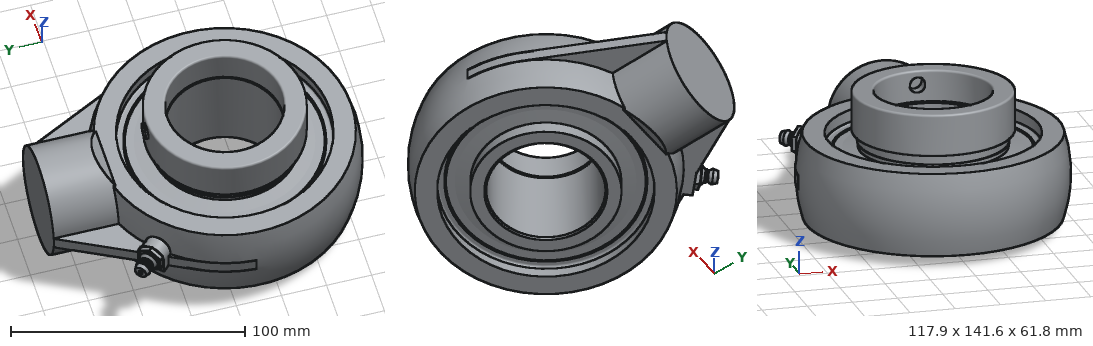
import cadquery as cq
import math


HOUSING_RADIUS = 58.9
HOUSING_HALF_WIDTH = 18.5
HOUSING_BORE_RADIUS = 92.7 / 2
SHANK_RADIUS = 48.0 / 2
SHANK_END = 82.7
SHANK_START = 49.5
SHANK_BEVEL_START = 52.8
WEB_THICKNESS = 6.0
WEB_RADIUS = HOUSING_RADIUS + 0.1
WEB_LAND_END = 2.7

BOSS_RADIUS = 6.0
BOSS_AXIS_HEIGHT = 4.0
BOSS_START = 51.0
BOSS_END = 64.0

RACE_RADIUS = 94.7 / 2
RACE_FACE_HEIGHT = 12.0
RACE_CORNER_RADIUS = 1.06
RACE_HALF_WIDTH = RACE_FACE_HEIGHT + RACE_CORNER_RADIUS
SEAL_SEAT_RADIUS = 86.6 / 2

SEAL_DEPTH = 2.8
SEAL_EDGE_CHAMFER = 0.7
SEAL_FLAT_RADIUS = 77.5 / 2
SEAL_CONE_RISE = 0.5

BORE_RADIUS = 50.8 / 2
INNER_RING_RADIUS = 64.5 / 2
INNER_RING_BOTTOM = -19.0
INNER_RING_CHAMFER = 0.8
SPIGOT_RADIUS = 59.3 / 2
SPIGOT_TOP = 23.9

COLLAR_RADIUS = 70.0 / 2
COLLAR_SKIRT_RADIUS = 65.3 / 2
COLLAR_SKIRT_BOTTOM = 14.9
COLLAR_BOTTOM = 19.3
COLLAR_TOP = 37.8
COLLAR_ROUNDING = 1.0

SCREW_RADIUS = 6.8 / 2
SCREW_HEIGHT = 31.5
SCREW_INNER_END = 31.1
SCREW_OUTER_END = 36.0

NIPPLE_HEX_CORNERS = 12.7
NIPPLE_HEX_LENGTH = 2.3
NIPPLE_SHOULDER_RADIUS = 5.4
NIPPLE_CONE_RADIUS = 4.4
NIPPLE_CONE_START = 2.7
NIPPLE_CONE_END = 4.2
NIPPLE_STEM_RADIUS = 6.0 / 2
NIPPLE_STEM_END = 5.0
NIPPLE_NECK_RADIUS = 2.4
NIPPLE_NECK_START = 5.4
NIPPLE_NECK_END = 5.8
NIPPLE_HEAD_RADIUS = 6.8 / 2
NIPPLE_HEAD_WIDEST = 7.6
NIPPLE_TIP_RADIUS = 2.7
NIPPLE_LENGTH = 9.9
NIPPLE_BALL_RADIUS = 2.3 / 2
NIPPLE_BALL_RISE = 0.4


def revolve_about_z(points):
    """Turn a closed (radius, z) outline about the bearing axis."""
    return cq.Workplane("XZ").polyline(points).close().revolve(360, (0, 0, 0), (0, 1, 0))


def nipple_plane(distance):
    """Plane across the nipple axis, its x direction along +Z and its normal pointing outward."""
    offset = distance / math.sqrt(2)
    return cq.Plane(origin=(-offset, offset, BOSS_AXIS_HEIGHT), xDir=(0, 0, 1), normal=(-1, 1, 0))


def make_ring():
    """Solid disc with a spherical rim."""
    face_radius = math.sqrt(HOUSING_RADIUS**2 - HOUSING_HALF_WIDTH**2)
    return (
        cq.Workplane("XZ")
        .moveTo(0, -HOUSING_HALF_WIDTH)
        .lineTo(face_radius, -HOUSING_HALF_WIDTH)
        .threePointArc((HOUSING_RADIUS, 0), (face_radius, HOUSING_HALF_WIDTH))
        .lineTo(0, HOUSING_HALF_WIDTH)
        .close()
        .revolve(360, (0, 0, 0), (0, 1, 0))
    )


def make_shank():
    """Cylinder along +Y with a 45 degree bevel down to each ring face."""
    bevel = SHANK_RADIUS - HOUSING_HALF_WIDTH
    side_outline = [
        (SHANK_START, -HOUSING_HALF_WIDTH),
        (SHANK_BEVEL_START, -HOUSING_HALF_WIDTH),
        (SHANK_BEVEL_START + bevel, -SHANK_RADIUS),
        (SHANK_END, -SHANK_RADIUS),
        (SHANK_END, SHANK_RADIUS),
        (SHANK_BEVEL_START + bevel, SHANK_RADIUS),
        (SHANK_BEVEL_START, HOUSING_HALF_WIDTH),
        (SHANK_START, HOUSING_HALF_WIDTH),
    ]
    beveled_block = cq.Workplane("YZ").polyline(side_outline).close().extrude(SHANK_RADIUS, both=True)
    cylinder = (
        cq.Workplane("XZ", origin=(0, SHANK_START, 0))
        .circle(SHANK_RADIUS)
        .extrude(SHANK_START - SHANK_END)
    )
    return cylinder.intersect(beveled_block)


def web_point(angle):
    """Point on the web's land circle."""
    return WEB_RADIUS * math.cos(angle), WEB_RADIUS * math.sin(angle)


def mirror_x(point):
    return -point[0], point[1]


def make_web():
    """Plate from the corners of the shank end, running out along the ring's equator."""
    corner_angle = math.atan2(SHANK_END, SHANK_RADIUS)
    tangent_angle = corner_angle - math.acos(WEB_RADIUS / math.hypot(SHANK_RADIUS, SHANK_END))
    end_angle = math.asin(WEB_LAND_END / WEB_RADIUS)
    tangent = web_point(tangent_angle)
    middle = web_point((tangent_angle + end_angle) / 2)
    end = web_point(end_angle)
    return (
        cq.Workplane("XY")
        .moveTo(-SHANK_RADIUS, SHANK_END)
        .lineTo(SHANK_RADIUS, SHANK_END)
        .lineTo(*tangent)
        .threePointArc(middle, end)
        .lineTo(*mirror_x(end))
        .threePointArc(mirror_x(middle), mirror_x(tangent))
        .close()
        .extrude(WEB_THICKNESS / 2, both=True)
    )


def make_boss():
    """Round-topped boss that stands on the lower face of the web."""
    drop = BOSS_AXIS_HEIGHT + WEB_THICKNESS / 2
    return (
        cq.Workplane(nipple_plane(BOSS_START))
        .moveTo(0, BOSS_RADIUS)
        .threePointArc((BOSS_RADIUS, 0), (0, -BOSS_RADIUS))
        .lineTo(-drop, -BOSS_RADIUS)
        .lineTo(-drop, BOSS_RADIUS)
        .close()
        .extrude(BOSS_END - BOSS_START)
    )


def make_housing():
    """Housing bored through, with a wider groove that holds the outer race."""
    bore = cq.Workplane("XY").circle(HOUSING_BORE_RADIUS).extrude(HOUSING_HALF_WIDTH, both=True)
    groove = cq.Workplane("XY").circle(RACE_RADIUS).extrude(RACE_HALF_WIDTH, both=True)
    body = make_ring().union(make_shank()).union(make_web()).union(make_boss())
    return body.cut(bore).cut(groove)


def make_outer_race():
    """Race with a concave corner at both faces; the seals sit in its bore."""
    corner_start = HOUSING_BORE_RADIUS - RACE_CORNER_RADIUS
    sag = RACE_CORNER_RADIUS * math.sqrt(0.5)
    arc_radius = corner_start + sag
    arc_height = RACE_HALF_WIDTH - sag
    return (
        cq.Workplane("XZ")
        .moveTo(SEAL_SEAT_RADIUS, -RACE_FACE_HEIGHT)
        .lineTo(corner_start, -RACE_FACE_HEIGHT)
        .threePointArc((arc_radius, -arc_height), (HOUSING_BORE_RADIUS, -RACE_HALF_WIDTH))
        .lineTo(RACE_RADIUS, -RACE_HALF_WIDTH)
        .lineTo(RACE_RADIUS, RACE_HALF_WIDTH)
        .lineTo(HOUSING_BORE_RADIUS, RACE_HALF_WIDTH)
        .threePointArc((arc_radius, arc_height), (corner_start, RACE_FACE_HEIGHT))
        .lineTo(SEAL_SEAT_RADIUS, RACE_FACE_HEIGHT)
        .close()
        .revolve(360, (0, 0, 0), (0, 1, 0))
    )


def make_seal(side):
    """Seal between the race and the inner ring; side is 1 at the top and -1 at the bottom."""
    outline = [
        (INNER_RING_RADIUS, RACE_FACE_HEIGHT - SEAL_DEPTH),
        (SEAL_SEAT_RADIUS, RACE_FACE_HEIGHT - SEAL_DEPTH),
        (SEAL_SEAT_RADIUS, RACE_FACE_HEIGHT - SEAL_EDGE_CHAMFER),
        (SEAL_SEAT_RADIUS - SEAL_EDGE_CHAMFER, RACE_FACE_HEIGHT),
        (SEAL_FLAT_RADIUS, RACE_FACE_HEIGHT),
        (INNER_RING_RADIUS, RACE_FACE_HEIGHT + SEAL_CONE_RISE),
    ]
    return revolve_about_z([(radius, side * z) for radius, z in outline])


def make_inner_ring():
    edge = INNER_RING_CHAMFER
    return revolve_about_z([
        (BORE_RADIUS + edge, INNER_RING_BOTTOM),
        (INNER_RING_RADIUS, INNER_RING_BOTTOM),
        (INNER_RING_RADIUS, COLLAR_SKIRT_BOTTOM),
        (SPIGOT_RADIUS, COLLAR_SKIRT_BOTTOM),
        (SPIGOT_RADIUS, SPIGOT_TOP),
        (BORE_RADIUS + edge, SPIGOT_TOP),
        (BORE_RADIUS, SPIGOT_TOP - edge),
        (BORE_RADIUS, INNER_RING_BOTTOM + edge),
    ])


def make_screw_cylinder(start, end):
    """Cylinder along +Y on the set screw axis."""
    return cq.Workplane("XZ", origin=(0, start, SCREW_HEIGHT)).circle(SCREW_RADIUS).extrude(start - end)


def make_collar():
    """Collar with rounded rims, a seat for the inner ring's spigot and a skirt around that seat."""
    rim = (
        cq.Workplane("XY", origin=(0, 0, COLLAR_BOTTOM))
        .circle(COLLAR_RADIUS)
        .circle(BORE_RADIUS)
        .extrude(COLLAR_TOP - COLLAR_BOTTOM)
        .edges("%CIRCLE")
        .fillet(COLLAR_ROUNDING)
    )
    spigot_seat = cq.Workplane("XY").circle(SPIGOT_RADIUS).extrude(SPIGOT_TOP)
    skirt = (
        cq.Workplane("XY", origin=(0, 0, COLLAR_SKIRT_BOTTOM))
        .circle(COLLAR_SKIRT_RADIUS)
        .circle(SPIGOT_RADIUS)
        .extrude(COLLAR_BOTTOM - COLLAR_SKIRT_BOTTOM)
    )
    return rim.cut(spigot_seat).union(skirt).cut(make_screw_cylinder(0, COLLAR_RADIUS))


def make_set_screw():
    return make_screw_cylinder(SCREW_INNER_END, SCREW_OUTER_END)


def make_grease_nipple():
    """Hexagon on the boss face, then a turned stem, neck and head with a ball in its tip."""
    plane = nipple_plane(BOSS_END)
    hexagon = cq.Workplane(plane).polygon(6, NIPPLE_HEX_CORNERS).extrude(NIPPLE_HEX_LENGTH)
    turned_outline = [
        (0, 0),
        (NIPPLE_SHOULDER_RADIUS, 0),
        (NIPPLE_SHOULDER_RADIUS, NIPPLE_HEX_LENGTH),
        (NIPPLE_CONE_RADIUS, NIPPLE_CONE_START),
        (NIPPLE_STEM_RADIUS, NIPPLE_CONE_END),
        (NIPPLE_STEM_RADIUS, NIPPLE_STEM_END),
        (NIPPLE_NECK_RADIUS, NIPPLE_NECK_START),
        (NIPPLE_NECK_RADIUS, NIPPLE_NECK_END),
        (NIPPLE_HEAD_RADIUS, NIPPLE_HEAD_WIDEST),
        (NIPPLE_TIP_RADIUS, NIPPLE_LENGTH),
        (0, NIPPLE_LENGTH),
    ]
    axis_plane = cq.Plane(origin=plane.origin, xDir=plane.xDir, normal=plane.yDir.multiply(-1))
    turned = cq.Workplane(axis_plane).polyline(turned_outline).close().revolve(360, (0, 0, 0), (0, 1, 0))
    ball_centre = BOSS_END + NIPPLE_LENGTH + NIPPLE_BALL_RISE - NIPPLE_BALL_RADIUS
    ball = cq.Workplane(nipple_plane(ball_centre)).sphere(NIPPLE_BALL_RADIUS)
    return hexagon.union(turned).union(ball)


housing = make_housing()
outer_race = make_outer_race()
seals = [make_seal(side) for side in (1, -1)]
inner_ring = make_inner_ring()
collar = make_collar()
set_screw = make_set_screw()
grease_nipple = make_grease_nipple()

result = cq.Compound.makeCompound([
    housing.val(),
    outer_race.val(),
    *[seal.val() for seal in seals],
    inner_ring.val(),
    collar.val(),
    set_screw.val(),
    grease_nipple.val(),
])